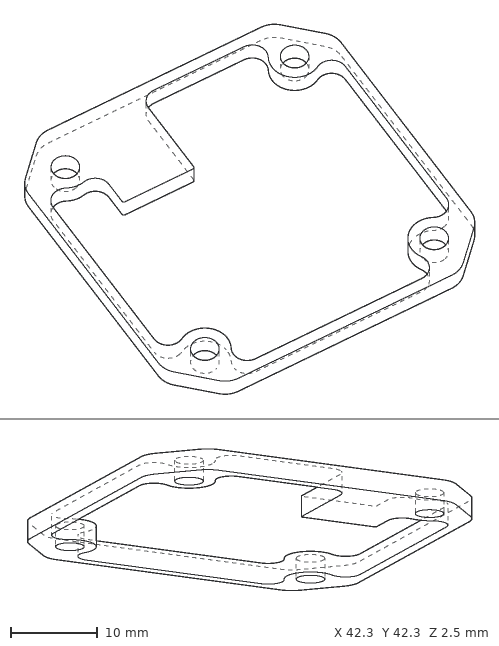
import cadquery as cq
import math

size_x = 42.32
size_y = 42.3
thickness = 2.5
corner_chamfer = 5.5
chamfer_blend_radius = 3.0

hole_diameter = 3.3
hole_spacing = 31.0
hole_offset = hole_spacing / 2
boss_wall = 1.4
boss_radius = hole_diameter / 2 + boss_wall

pocket_size = 39.5
pocket_half = pocket_size / 2
blend_radius = 1.85

tab_tip_x = -7.6
tab_top_y = -2.8
tab_bottom_y = -12.5
tab_tip_radius = 0.25


def rotated(point, angle):
    """Turn a point about the part centre by an angle in degrees."""
    c = math.cos(math.radians(angle))
    s = math.sin(math.radians(angle))
    return (point[0] * c - point[1] * s, point[0] * s + point[1] * c)


def point_toward(start, target, distance):
    """Point at a distance from start, in the direction of target."""
    scale = distance / math.dist(start, target)
    return tuple(a + (b - a) * scale for a, b in zip(start, target))


def arc_middle(center, start, end, radius):
    """Middle point of the shorter arc from start to end."""
    chord_middle = tuple((a + b) / 2 for a, b in zip(start, end))
    return point_toward(center, chord_middle, radius)


def blend_run(offset):
    """Distance along a wall or tab edge from a boss centre to its blend centre.

    The offset between the two centres is measured square to that edge.
    """
    return math.sqrt((boss_radius + blend_radius) ** 2 - offset ** 2)


def make_plate():
    return (
        cq.Workplane("XY")
        .rect(size_x, size_y)
        .extrude(thickness)
        .edges("|Z")
        .chamfer(corner_chamfer)
        .edges("|Z")
        .fillet(chamfer_blend_radius)
    )


def make_pocket():
    """Square opening whose corners wrap around the four bosses."""
    boss = (hole_offset, hole_offset)
    blend_far = pocket_half - blend_radius
    blend_near = hole_offset - blend_run(blend_far - hole_offset)

    blend_1 = (blend_far, blend_near)
    blend_2 = (blend_near, blend_far)
    wall_1 = (pocket_half, blend_near)
    wall_2 = (blend_near, pocket_half)
    tangent_1 = point_toward(boss, blend_1, boss_radius)
    tangent_2 = point_toward(boss, blend_2, boss_radius)
    boss_mid = point_toward(boss, (0, 0), boss_radius)
    blend_mid_1 = arc_middle(blend_1, wall_1, tangent_1, blend_radius)
    blend_mid_2 = arc_middle(blend_2, tangent_2, wall_2, blend_radius)

    outline = cq.Workplane("XY").moveTo(*rotated(wall_2, -90))
    for angle in (0, 90, 180, 270):
        outline = (
            outline.lineTo(*rotated(wall_1, angle))
            .threePointArc(rotated(blend_mid_1, angle), rotated(tangent_1, angle))
            .threePointArc(rotated(boss_mid, angle), rotated(tangent_2, angle))
            .threePointArc(rotated(blend_mid_2, angle), rotated(wall_2, angle))
        )
    return outline.close().extrude(thickness)


def make_tab():
    """Tab between the -X wall and the -X -Y boss, blended into both."""
    boss = (-hole_offset, -hole_offset)
    root_x = -(pocket_half + size_x / 2) / 2
    wall_x = -pocket_half

    upper_blend = (wall_x + blend_radius, tab_top_y + blend_radius)
    upper_mid = point_toward(upper_blend, (wall_x, tab_top_y), blend_radius)

    lower_y = tab_bottom_y - blend_radius
    lower_blend = (boss[0] + blend_run(lower_y - boss[1]), lower_y)
    lower_start = (lower_blend[0], tab_bottom_y)
    lower_end = point_toward(boss, lower_blend, boss_radius)
    lower_mid = arc_middle(lower_blend, lower_start, lower_end, blend_radius)

    return (
        cq.Workplane("XY")
        .moveTo(root_x, upper_blend[1])
        .lineTo(wall_x, upper_blend[1])
        .threePointArc(upper_mid, (upper_blend[0], tab_top_y))
        .lineTo(tab_tip_x, tab_top_y)
        .lineTo(tab_tip_x, tab_bottom_y)
        .lineTo(*lower_start)
        .threePointArc(lower_mid, lower_end)
        .lineTo(*boss)
        .lineTo(root_x, boss[1])
        .close()
        .extrude(thickness)
        .edges("|Z and >X")
        .fillet(tab_tip_radius)
    )


def make_holes():
    return (
        cq.Workplane("XY")
        .rect(hole_spacing, hole_spacing, forConstruction=True)
        .vertices()
        .circle(hole_diameter / 2)
        .extrude(thickness)
    )


frame = make_plate().cut(make_pocket()).union(make_tab())
result = frame.cut(make_holes())